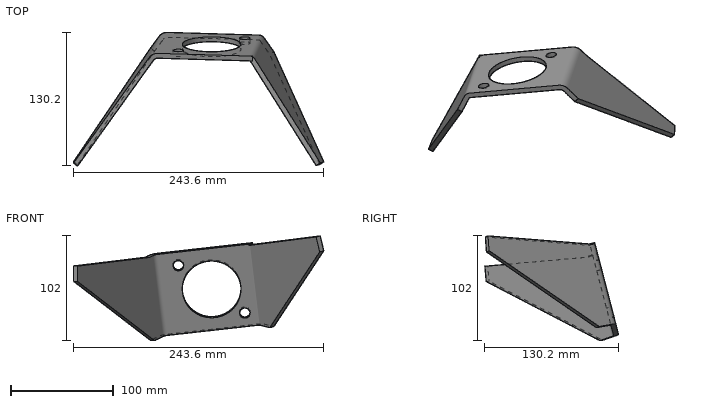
import cadquery as cq
import math

SHEET = 5.0
ROLL = -6.61
PITCH = 14.58

PLATE_HEIGHT = 82.0
BORE_DIAMETER = 57.0
BOLT_DIAMETER = 10.15
BOLT_OFFSET_X = 29.38
BOLT_OFFSET_Z = 27.38

BEND_ANGLE = 55.0
TIP_WIDTH = 15.0

LEFT_WIDTH = 48.0
LEFT_RADIUS = 5.0
LEFT_REACH = 124.75
LEFT_TIP_TOP = 65.24
LEFT_UPPER_CORNER = 7.17
LEFT_LOWER_CORNER = 14.84

RIGHT_WIDTH = 41.43
RIGHT_RADIUS = 1.5
RIGHT_REACH = 117.24
RIGHT_TIP_TOP = 65.67
RIGHT_BEND_TOP = 39.91
RIGHT_LOWER_CORNER = 16.64

HALF_HEIGHT = PLATE_HEIGHT / 2


def make_plate():
    """Flat plate with its bore, its bolt holes and a lip above the lower right bend."""
    plate = cq.Workplane("XY").box(
        LEFT_WIDTH + RIGHT_WIDTH, SHEET, PLATE_HEIGHT, centered=(False, False, True)
    ).translate((-LEFT_WIDTH, 0, 0))
    lip_length = (RIGHT_RADIUS + SHEET) * math.tan(math.radians(BEND_ANGLE / 2))
    lip = cq.Workplane("XY").box(
        lip_length, SHEET, HALF_HEIGHT - RIGHT_BEND_TOP, centered=False
    ).translate((RIGHT_WIDTH, 0, RIGHT_BEND_TOP))
    bolt_places = [(-BOLT_OFFSET_X, BOLT_OFFSET_Z), (BOLT_OFFSET_X, -BOLT_OFFSET_Z)]
    bore = cq.Workplane("XZ").circle(BORE_DIAMETER / 2).extrude(-SHEET)
    bolts = cq.Workplane("XZ").pushPoints(bolt_places).circle(BOLT_DIAMETER / 2).extrude(-SHEET)
    return plate.union(lip).cut(bore).cut(bolts)


def make_bend(bend_x, radius, bend_top):
    """Ring sector that turns the sheet from the plate's right edge into the wing."""
    outer = radius + SHEET

    def on_arc(distance, angle):
        turn = math.radians(angle)
        return (bend_x + distance * math.sin(turn), distance * math.cos(turn) - radius)

    return (
        cq.Workplane("XY", origin=(0, 0, -HALF_HEIGHT))
        .moveTo(*on_arc(radius, 0))
        .lineTo(*on_arc(outer, 0))
        .threePointArc(on_arc(outer, BEND_ANGLE / 2), on_arc(outer, BEND_ANGLE))
        .lineTo(*on_arc(radius, BEND_ANGLE))
        .threePointArc(on_arc(radius, BEND_ANGLE / 2), on_arc(radius, 0))
        .close()
        .extrude(bend_top + HALF_HEIGHT)
    )


def make_wing(bend_x, radius, tip_reach, tip_top, bend_top, upper_corner, lower_corner):
    """Tapering wing on the right of the plate; its tip is square to its upper edge."""
    slope = math.atan2(tip_top - bend_top, tip_reach - upper_corner)
    tip_bottom = (
        tip_reach + TIP_WIDTH * math.sin(slope),
        tip_top - TIP_WIDTH * math.cos(slope),
    )
    outline = [
        (0, -HALF_HEIGHT),
        (lower_corner, -HALF_HEIGHT),
        tip_bottom,
        (tip_reach, tip_top),
        (upper_corner, bend_top),
    ]
    if upper_corner > 0:
        outline.append((0, bend_top))
    flat = cq.Workplane("XZ").polyline(outline).close().extrude(-SHEET)
    axis_start = (bend_x, -radius, 0)
    axis_end = (bend_x, -radius, 1)
    return flat.translate((bend_x, 0, 0)).rotate(axis_start, axis_end, -BEND_ANGLE)


def make_side(bend_x, radius, tip_reach, tip_top, bend_top, upper_corner, lower_corner):
    """Bend and wing together, kept as separate faces so the bend lines stay visible."""
    bend = make_bend(bend_x, radius, bend_top)
    wing = make_wing(bend_x, radius, tip_reach, tip_top, bend_top, upper_corner, lower_corner)
    return bend.union(wing, clean=False)


left_side = make_side(
    bend_x=LEFT_WIDTH,
    radius=LEFT_RADIUS,
    tip_reach=LEFT_REACH,
    tip_top=LEFT_TIP_TOP,
    bend_top=HALF_HEIGHT,
    upper_corner=LEFT_UPPER_CORNER,
    lower_corner=LEFT_LOWER_CORNER,
).mirror("YZ")
right_side = make_side(
    bend_x=RIGHT_WIDTH,
    radius=RIGHT_RADIUS,
    tip_reach=RIGHT_REACH,
    tip_top=RIGHT_TIP_TOP,
    bend_top=RIGHT_BEND_TOP,
    upper_corner=0,
    lower_corner=RIGHT_LOWER_CORNER,
)
plate = make_plate()
bracket = plate.union(left_side, clean=False).union(right_side, clean=False)

result = bracket.rotate((0, 0, 0), (0, 1, 0), ROLL).rotate((0, 0, 0), (1, 0, 0), PITCH)